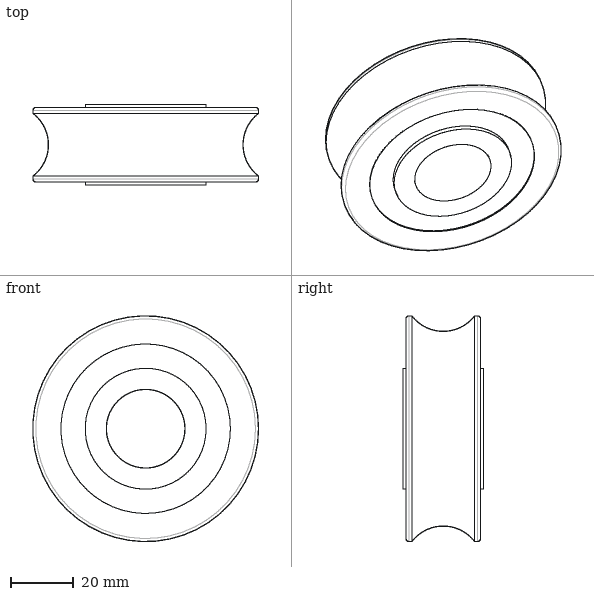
import cadquery as cq

outer_diameter = 72.0
hub_width = 25.8
rim_width = 23.8
hub_diameter = 38.5
bore_diameter = 25.0
seal_diameter = 54.0
seal_recess_depth = 0.4
rim_edge_radius = 1.0
groove_width = 20.0
groove_floor_diameter = 62.1

outer_radius = outer_diameter / 2
groove_floor_radius = groove_floor_diameter / 2


def cylinder(diameter, width, start):
    """Solid cylinder along Y that begins at y = start."""
    disc = cq.Workplane("XZ", origin=(0, start, 0)).circle(diameter / 2)
    return disc.extrude(-width)


def groove():
    """Ring with an arc-shaped section that hollows out the rim."""
    half_width = groove_width / 2
    section = (
        cq.Workplane("XY")
        .moveTo(outer_radius, -half_width)
        .threePointArc((groove_floor_radius, 0), (outer_radius, half_width))
        .close()
    )
    return section.revolve(360, (0, 0, 0), (0, 1, 0))


rim = cylinder(outer_diameter, rim_width, -rim_width / 2)
rim = rim.edges().fillet(rim_edge_radius).cut(groove())

for recess_start in (-rim_width / 2, rim_width / 2 - seal_recess_depth):
    rim = rim.cut(cylinder(seal_diameter, seal_recess_depth, recess_start))

hub = cylinder(hub_diameter, hub_width, -hub_width / 2)
bore = cylinder(bore_diameter, hub_width, -hub_width / 2)
result = rim.union(hub).cut(bore)